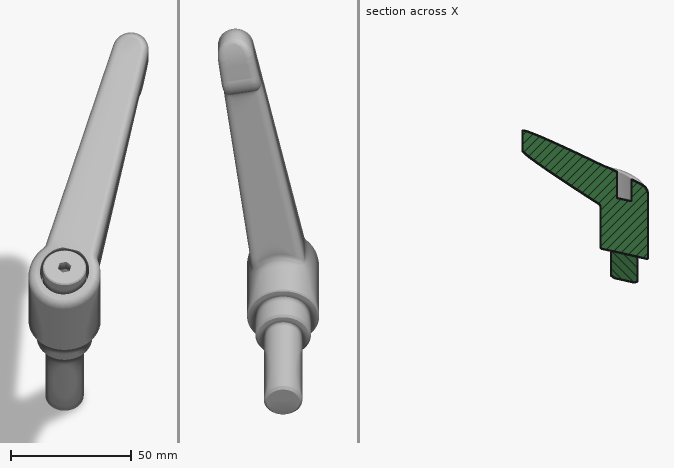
import cadquery as cq
import math


HUB_RADIUS = 15.0
HUB_CHAMFER = 0.5
TOP_SLOPE = math.radians(15)
TOP_HEIGHT_AT_AXIS = 35.4

OVERALL_LENGTH = 123.0
TIP_Y = OVERALL_LENGTH - HUB_RADIUS
TIP_RADIUS = 7.5
TIP_CENTER_Y = TIP_Y - TIP_RADIUS
ROOT_HALF_WIDTH = 11.2
ROOT_Y = 10.1
BOTTOM_SLOPE = math.radians(20)
BOTTOM_HEIGHT_AT_AXIS = 15.0
EDGE_FILLET = 3.1
JUNCTION_FILLET = 1.8

STOP_START_Y = 85.6
STOP_LOWEST = (89.5, 44.3)
STOP_ARC_END = (93.6, 45.4)
TIP_ARC_START = (99.6, 48.0)
TIP_ARC_MIDDLE = (104.2, 50.7)
TIP_ARC_END = (108.9, 55.4)

COLLAR_RADIUS = 11.6
COLLAR_LENGTH = 11.9
COLLAR_CHAMFER = 0.9
STUD_RADIUS = 8.0
STUD_BOTTOM_Z = -52.5
STUD_CHAMFER = 1.1

SCREW_RADIUS = 9.0
SCREW_TOP_Z = 38.0
SCREW_CHAMFER = 0.5
RECESS_RADIUS = 10.2
RECESS_FLOOR_Z = 24.6
HEX_FLATS = 5.0
HEX_DEPTH = 4.9


def top_z(y):
    """Height of the sloping top face."""
    return TOP_HEIGHT_AT_AXIS + y * math.tan(TOP_SLOPE)


def bottom_z(y):
    """Height of the sloping underside of the arm."""
    return BOTTOM_HEIGHT_AT_AXIS + y * math.tan(BOTTOM_SLOPE)


def make_arm():
    """Side profile of the arm, trimmed to its tapered plan outline."""
    profile = (
        cq.Workplane("YZ")
        .moveTo(0, bottom_z(0))
        .lineTo(STOP_START_Y, bottom_z(STOP_START_Y))
        .threePointArc(STOP_LOWEST, STOP_ARC_END)
        .lineTo(*TIP_ARC_START)
        .threePointArc(TIP_ARC_MIDDLE, TIP_ARC_END)
        .lineTo(TIP_ARC_END[0], top_z(TIP_ARC_END[0]))
        .lineTo(0, top_z(0))
        .close()
        .extrude(HUB_RADIUS, both=True)
    )
    root_reach = math.hypot(ROOT_HALF_WIDTH, TIP_CENTER_Y - ROOT_Y)
    root_direction = math.atan2(ROOT_HALF_WIDTH, TIP_CENTER_Y - ROOT_Y)
    taper = root_direction - math.asin(TIP_RADIUS / root_reach)
    tangent_x = TIP_RADIUS * math.cos(taper)
    tangent_y = TIP_CENTER_Y + TIP_RADIUS * math.sin(taper)
    axis_half_width = ROOT_HALF_WIDTH + ROOT_Y * math.tan(taper)
    plan = (
        cq.Workplane("XY")
        .moveTo(-axis_half_width, 0)
        .lineTo(axis_half_width, 0)
        .lineTo(tangent_x, tangent_y)
        .threePointArc((0, TIP_Y), (-tangent_x, tangent_y))
        .close()
        .extrude(top_z(TIP_Y))
    )
    return profile.intersect(plan)


def make_hub():
    """Cylinder cut off by the sloping top face."""
    blank = (
        cq.Workplane("XY")
        .circle(HUB_RADIUS)
        .extrude(top_z(HUB_RADIUS))
    )
    keep = (
        cq.Workplane("YZ")
        .moveTo(-HUB_RADIUS, 0)
        .lineTo(HUB_RADIUS, 0)
        .lineTo(HUB_RADIUS, top_z(HUB_RADIUS))
        .lineTo(-HUB_RADIUS, top_z(-HUB_RADIUS))
        .close()
        .extrude(HUB_RADIUS, both=True)
    )
    return blank.intersect(keep)


def round_arm_underside(arm):
    """Round the lower outline of the arm, from the root around the tip."""
    outline = [
        edge
        for edge in arm.edges("not(|X or |Z)").vals()
        if edge.Center().z < top_z(edge.Center().y) - EDGE_FILLET
    ]
    return arm.newObject(outline).fillet(EDGE_FILLET)


def round_junction(body):
    """Fill the corner where the underside and sides of the arm meet the hub."""
    underside_of_root = cq.selectors.BoxSelector(
        (-HUB_RADIUS, ROOT_Y, bottom_z(0)),
        (HUB_RADIUS, HUB_RADIUS, bottom_z(HUB_RADIUS)),
    )
    return body.edges(underside_of_root).fillet(JUNCTION_FILLET)


def round_top(body):
    """Round the rim of the sloping top face."""
    top_normal = cq.Vector(0, -math.sin(TOP_SLOPE), math.cos(TOP_SLOPE))
    top_face = cq.selectors.DirectionMinMaxSelector(top_normal, True)
    return body.faces(top_face).edges().fillet(EDGE_FILLET)


def make_lever():
    """Hub and arm in one piece, bored and recessed for the screw."""
    arm = round_arm_underside(make_arm())
    lever = round_junction(make_hub().union(arm))
    lever = round_top(lever)
    lever = lever.faces("<Z").edges().chamfer(HUB_CHAMFER)
    bore = cq.Workplane("XY").circle(SCREW_RADIUS).extrude(RECESS_FLOOR_Z)
    recess = (
        cq.Workplane("XY")
        .workplane(offset=RECESS_FLOOR_Z)
        .circle(RECESS_RADIUS)
        .extrude(SCREW_TOP_Z - RECESS_FLOOR_Z)
    )
    return lever.cut(bore).cut(recess)


def make_stud():
    """Plain stud with the collar that bears on the hub."""
    collar = (
        cq.Workplane("XY")
        .circle(COLLAR_RADIUS)
        .extrude(-COLLAR_LENGTH)
        .faces("<Z")
        .chamfer(COLLAR_CHAMFER)
    )
    shank = (
        cq.Workplane("XY")
        .circle(STUD_RADIUS)
        .extrude(STUD_BOTTOM_Z)
        .faces("<Z")
        .chamfer(STUD_CHAMFER)
    )
    return collar.union(shank)


def make_screw():
    """Round screw standing on the collar, with a hexagon socket on top."""
    hex_across_corners = HEX_FLATS / math.cos(math.pi / 6)
    body = (
        cq.Workplane("XY")
        .circle(SCREW_RADIUS)
        .extrude(SCREW_TOP_Z)
        .faces(">Z")
        .chamfer(SCREW_CHAMFER)
    )
    socket = (
        cq.Workplane("XY")
        .workplane(offset=SCREW_TOP_Z - HEX_DEPTH)
        .transformed(rotate=(0, 0, 30))
        .polygon(6, hex_across_corners)
        .extrude(HEX_DEPTH)
    )
    return body.cut(socket)


lever = make_lever()
stud = make_stud()
screw = make_screw()

result = cq.Compound.makeCompound([lever.solids().val(), stud.solids().val(), screw.solids().val()])